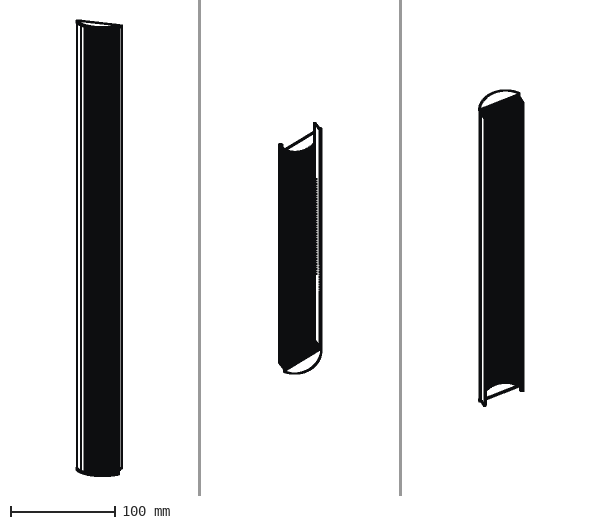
import cadquery as cq
import math

LENGTH = 455.0
CAP_WIDTH = 42.8
COVER_WIDTH = 42.5
DEPTH = 22.0

BOW_WALL = 1.1
RIB_COUNT = 26
RIB_HEIGHT = 0.8
RIM_HEIGHT = 1.5
LEG_WALL = 1.0
LEG_HEIGHT = 9.0
LEG_INSET = 0.25
LEG_END_GAP = 3.0
HOOK_REACH = 1.5
HOOK_HEIGHT = 4.0
HOOK_SLOPE = 1.5

CAP_THICKNESS = 1.65

TIP_Y = DEPTH / 2
CROWN_Y = -DEPTH / 2
BACK_Y = TIP_Y - LEG_HEIGHT
BOW_EDGE_Y = BACK_Y - RIM_HEIGHT

COVER_HALF_WIDTH = COVER_WIDTH / 2
BOW_RISE = BOW_EDGE_Y - CROWN_Y
BOW_RADIUS = (COVER_HALF_WIDTH**2 + BOW_RISE**2) / (2 * BOW_RISE)
BOW_CENTRE_Y = CROWN_Y + BOW_RADIUS

BOW_LENGTH = LENGTH - 2 * CAP_THICKNESS
LEG_LENGTH = LENGTH - 2 * LEG_END_GAP


def make_bow_bar(width, length):
    """D-shaped bar with a flat back, short upright rims and a bowed front."""
    half_width = width / 2
    return (
        cq.Workplane("XY")
        .moveTo(-half_width, BACK_Y)
        .lineTo(-half_width, BOW_EDGE_Y)
        .threePointArc((0, CROWN_Y), (half_width, BOW_EDGE_Y))
        .lineTo(half_width, BACK_Y)
        .close()
        .extrude(length / 2, both=True)
    )


def make_ribbed_cavity():
    """Hollow behind the bow; round ribs along Z stand inwards from the wall."""
    root_radius = BOW_RADIUS - BOW_WALL
    crest_radius = root_radius - RIB_HEIGHT
    end_angle = math.acos((BOW_CENTRE_Y - BOW_EDGE_Y) / root_radius)
    rib_angle = 2 * end_angle / RIB_COUNT

    def polar_point(radius, angle):
        return radius * math.sin(angle), BOW_CENTRE_Y - radius * math.cos(angle)

    start_x, start_y = polar_point(root_radius, -end_angle)
    outline = cq.Workplane("XY").moveTo(start_x, BACK_Y).lineTo(start_x, start_y)
    for rib in range(RIB_COUNT):
        rib_start = -end_angle + rib * rib_angle
        crest = polar_point(crest_radius, rib_start + rib_angle / 2)
        rib_end = polar_point(root_radius, rib_start + rib_angle)
        outline = outline.threePointArc(crest, rib_end)
    return outline.lineTo(-start_x, BACK_Y).close().extrude(BOW_LENGTH / 2, both=True)


def make_left_leg():
    """Leg standing on the left rim of the bow, with its hook turned inwards."""
    outer_x = -COVER_HALF_WIDTH + LEG_INSET
    inner_x = outer_x + LEG_WALL
    hook_x = inner_x + HOOK_REACH
    hook_base_y = TIP_Y - HOOK_HEIGHT
    return (
        cq.Workplane("XY")
        .moveTo(outer_x, BACK_Y)
        .lineTo(outer_x, TIP_Y)
        .lineTo(inner_x, TIP_Y)
        .lineTo(hook_x, TIP_Y - HOOK_SLOPE)
        .lineTo(hook_x, hook_base_y + HOOK_SLOPE)
        .lineTo(inner_x, hook_base_y)
        .lineTo(inner_x, BACK_Y)
        .close()
        .extrude(LEG_LENGTH / 2, both=True)
    )


def make_cover():
    """Ribbed bowed wall, open at the back, with a hooked leg on each rim."""
    bow = make_bow_bar(COVER_WIDTH, BOW_LENGTH).cut(make_ribbed_cavity())
    left_leg = make_left_leg()
    right_leg = left_leg.mirror("YZ")
    return bow.union(left_leg).union(right_leg)


def make_end_cap(centre_z):
    """D-shaped plate across one end of the bow, centred at the given height."""
    return make_bow_bar(CAP_WIDTH, CAP_THICKNESS).translate((0, 0, centre_z))


cover = make_cover()
cap_centre_z = (LENGTH - CAP_THICKNESS) / 2
end_caps = [make_end_cap(z) for z in (-cap_centre_z, cap_centre_z)]

result = cq.Compound.makeCompound([cover.val(), *[cap.val() for cap in end_caps]])